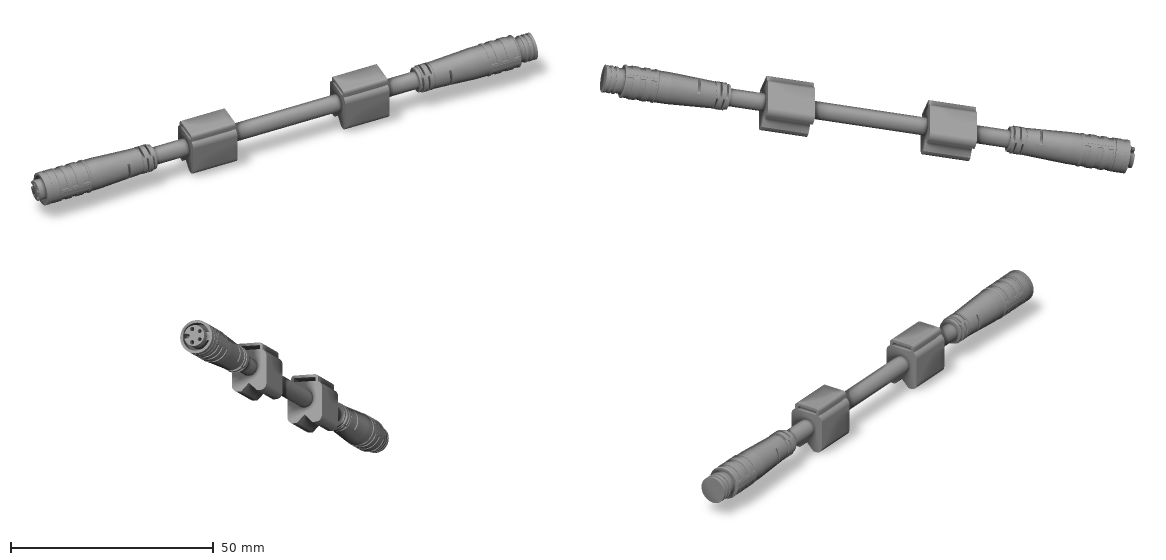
import cadquery as cq
import math

HALF_LENGTH = 67.4
PLUG = 1
SOCKET = -1

CABLE_DIAMETER = 4.5
CONNECTOR_LENGTH = 31.7

BODY_DIAMETER = 8.0
BODY_NECK_DIAMETER = 6.7
TAPER_START = 16.3
TAPER_END = 27.6
GRIP_SLOT_WIDTH = 0.7
GRIP_SLOT_FLAT = 2.7

RELIEF_DIAMETER = 6.9
RELIEF_NECK_DIAMETER = 6.5
RELIEF_NECK_LENGTH = 0.4
RELIEF_TIP_DIAMETER = 6.3
RELIEF_TIP_LENGTH = 0.8
RELIEF_SLOT_LENGTH = 0.5
RELIEF_SLOT_WIDTH = 4.6
RELIEF_SLOT_FLOOR = CABLE_DIAMETER / 2
RELIEF_SLOTS_TOP = (28.2, 29.9)
RELIEF_SLOTS_SIDE = (29.0, 30.6)

SLEEVE_DIAMETER = 8.4
SLEEVE_CHAMFER = 0.1
WINDOW_LENGTH = 1.5
WINDOW_EDGE = 1.28
RIB_WIDTH = 1.3

NOSE_DIAMETER = 6.3
NOSE_RING_DIAMETER = 6.9
NOSE_RINGS = ((0, 0.7), (1.2, 1.9), (2.5, 3.1))

PLUG_SLEEVE_START = 4.7
PLUG_SLEEVE_END = 13.2
PLUG_WINDOWS = (5.1, 8.4, 11.2)
PLUG_GRIP_SLOT = 23.2

SOCKET_SLEEVE_START = 5.1
SOCKET_SLEEVE_END = 13.7
SOCKET_WINDOWS = (5.7, 8.4, 11.6)
SOCKET_GRIP_SLOT = 23.7

NUT_START = 1.5
NUT_END = 5.0
NUT_BORE_DIAMETER = 7.0
NUT_BORE_DEPTH = 4.0
NUT_GROOVE = (2.5, 3.2)
NUT_GROOVE_DIAMETER = 8.2
CORE_DIAMETER = 5.3
KEYWAY_WIDTH = 1.2
KEYWAY_FLOOR = 2.0
KEYWAY_DEPTH = 2.7
KEY_WIDTH = 2.0
KEY_START = 1.9
PIN_CIRCLE_DIAMETER = 3.5
PIN_COUNT = 5
SMALL_PIN_DIAMETER = 1.0
LARGE_PIN_DIAMETER = 1.1
PIN_DEPTH = 2.7

CLIP_LENGTH = 12.0
CLIP_CENTRE = 20.6
CLIP_WIDTH = 9.0
CLIP_HEIGHT = 12.0
CLIP_BODY_TOP = 4.3
CLIP_ROUND = 1.6
CLIP_V_DEPTH = 2.0
BRIDGE_WIDTH = 7.0
BRIDGE_THICKNESS = 0.7
BRIDGE_ROUND = 0.8


def turned(end, start, stop, diameter, stop_diameter=None):
    """Cylinder, or cone if a second diameter is given, between two depths of one connector."""
    if stop_diameter is None:
        stop_diameter = diameter
    near = end * (HALF_LENGTH - start)
    far = end * (HALF_LENGTH - stop)
    outline = [(0, near), (diameter / 2, near), (stop_diameter / 2, far), (0, far)]
    return cq.Workplane("XY").polyline(outline).close().revolve(360, (0, 0, 0), (0, 1, 0))


def block(end, start, stop, x_range, z_range):
    """Box between two depths of one connector."""
    size_x = x_range[1] - x_range[0]
    size_z = z_range[1] - z_range[0]
    centre = (sum(x_range) / 2, end * (HALF_LENGTH - (start + stop) / 2), sum(z_range) / 2)
    return cq.Workplane("XY").box(size_x, stop - start, size_z).translate(centre)


def opposite_blocks(end, start, stop, inner, width):
    """Boxes above and below the axis, starting at the given distance from it."""
    across = (-width / 2, width / 2)
    upper = block(end, start, stop, across, (inner, SLEEVE_DIAMETER))
    return upper.union(block(end, start, stop, across, (-SLEEVE_DIAMETER, -inner)))


def quarter_turn(shape):
    """Move features from the top and bottom to the sides."""
    return shape.rotate((0, 0, 0), (0, 1, 0), 90)


def ring_groove(end, start, stop, floor_diameter):
    return turned(end, start, stop, 2 * SLEEVE_DIAMETER).cut(turned(end, start, stop, floor_diameter))


def relief_slots(end, start):
    stop = start + RELIEF_SLOT_LENGTH
    return opposite_blocks(end, start, stop, RELIEF_SLOT_FLOOR, RELIEF_SLOT_WIDTH)


def body(end, start, grip_slot):
    """Grip body, its two side slots and the strain relief."""
    relief_tip = CONNECTOR_LENGTH - RELIEF_TIP_LENGTH
    shape = turned(end, start, TAPER_START, BODY_DIAMETER)
    shape = shape.union(turned(end, TAPER_START, TAPER_END, BODY_DIAMETER, BODY_NECK_DIAMETER))
    shape = shape.union(turned(end, TAPER_END, relief_tip, RELIEF_DIAMETER))
    shape = shape.union(turned(end, relief_tip, CONNECTOR_LENGTH, RELIEF_TIP_DIAMETER))
    neck_end = TAPER_END + RELIEF_NECK_LENGTH
    shape = shape.cut(ring_groove(end, TAPER_END, neck_end, RELIEF_NECK_DIAMETER))
    slot_end = grip_slot + GRIP_SLOT_WIDTH
    shape = shape.cut(
        quarter_turn(opposite_blocks(end, grip_slot, slot_end, GRIP_SLOT_FLAT, SLEEVE_DIAMETER))
    )
    for slot_start in RELIEF_SLOTS_TOP:
        shape = shape.cut(relief_slots(end, slot_start))
    for slot_start in RELIEF_SLOTS_SIDE:
        shape = shape.cut(quarter_turn(relief_slots(end, slot_start)))
    return shape


def sleeve(end, start, stop, windows):
    """Sleeve with windows at top and bottom and a flat-faced rib along each side."""
    shape = turned(end, start, stop, SLEEVE_DIAMETER).faces("<Y or >Y").chamfer(SLEEVE_CHAMFER)
    for window in windows:
        window_end = window + WINDOW_LENGTH
        recess = opposite_blocks(end, window, window_end, WINDOW_EDGE, 2 * SLEEVE_DIAMETER)
        shape = shape.cut(recess.intersect(ring_groove(end, window, window_end, BODY_DIAMETER)))
    radius = SLEEVE_DIAMETER / 2
    across = (-RIB_WIDTH / 2, RIB_WIDTH / 2)
    rib = block(end, windows[0], windows[-1] + WINDOW_LENGTH, (-radius, radius), across)
    return shape.union(rib)


def plug():
    shape = turned(PLUG, 0, PLUG_SLEEVE_START, NOSE_DIAMETER)
    for start, stop in NOSE_RINGS:
        shape = shape.union(turned(PLUG, start, stop, NOSE_RING_DIAMETER))
    shape = shape.union(sleeve(PLUG, PLUG_SLEEVE_START, PLUG_SLEEVE_END, PLUG_WINDOWS))
    return shape.union(body(PLUG, PLUG_SLEEVE_END, PLUG_GRIP_SLOT))


def socket_core():
    """Core with a keyway on the -X side, a key on the +X side and a ring of pin holes."""
    radius = CORE_DIAMETER / 2
    core = turned(SOCKET, 0, NUT_END, CORE_DIAMETER)
    half_key = KEY_WIDTH / 2
    core = core.union(
        block(SOCKET, KEY_START, NUT_END, (0, NUT_BORE_DIAMETER / 2), (-half_key, half_key))
    )
    half_keyway = KEYWAY_WIDTH / 2
    core = core.cut(
        block(SOCKET, 0, KEYWAY_DEPTH, (-2 * radius, -KEYWAY_FLOOR), (-half_keyway, half_keyway))
    )
    for index in range(PIN_COUNT):
        angle = math.pi + index * 2 * math.pi / PIN_COUNT
        x = PIN_CIRCLE_DIAMETER / 2 * math.cos(angle)
        z = PIN_CIRCLE_DIAMETER / 2 * math.sin(angle)
        diameter = SMALL_PIN_DIAMETER if x > 0 else LARGE_PIN_DIAMETER
        core = core.cut(turned(SOCKET, 0, PIN_DEPTH, diameter).translate((x, 0, z)))
    return core


def socket():
    shape = turned(SOCKET, NUT_START, NUT_END, SLEEVE_DIAMETER)
    shape = shape.cut(ring_groove(SOCKET, *NUT_GROOVE, NUT_GROOVE_DIAMETER))
    shape = shape.cut(turned(SOCKET, NUT_START, NUT_BORE_DEPTH, NUT_BORE_DIAMETER))
    shape = shape.union(socket_core())
    shape = shape.union(sleeve(SOCKET, SOCKET_SLEEVE_START, SOCKET_SLEEVE_END, SOCKET_WINDOWS))
    return shape.union(body(SOCKET, NUT_END, SOCKET_GRIP_SLOT))


def clip(centre):
    """Rounded block around the cable with a V notch below and a bridge over a flat gap on top."""
    bottom = -CLIP_HEIGHT / 2
    top = CLIP_HEIGHT / 2
    height = CLIP_BODY_TOP - bottom
    shape = cq.Workplane("XY").box(CLIP_WIDTH, CLIP_LENGTH, height)
    shape = shape.edges("|Y").fillet(CLIP_ROUND).translate((0, 0, bottom + height / 2))

    bridge = cq.Workplane("XY").box(BRIDGE_WIDTH, CLIP_LENGTH, top)
    bridge = bridge.edges("|Y and >Z").fillet(BRIDGE_ROUND).translate((0, 0, top / 2))
    gap_height = top - BRIDGE_THICKNESS - CLIP_BODY_TOP
    gap = cq.Workplane("XY").box(BRIDGE_WIDTH - 2 * BRIDGE_THICKNESS, CLIP_LENGTH, gap_height)
    shape = shape.union(bridge).cut(gap.translate((0, 0, CLIP_BODY_TOP + gap_height / 2)))

    notch = [(-CLIP_V_DEPTH, bottom), (0, bottom + CLIP_V_DEPTH), (CLIP_V_DEPTH, bottom)]
    cutter = cq.Workplane("XZ").polyline(notch).close().extrude(CLIP_LENGTH / 2, both=True)
    return shape.cut(cutter).translate((0, centre, 0))


cable_half = HALF_LENGTH - TAPER_END
cable = cq.Workplane("XZ").circle(CABLE_DIAMETER / 2).extrude(cable_half, both=True)

result = cable.union(plug()).union(socket())
for clip_side in (PLUG, SOCKET):
    result = result.union(clip(clip_side * CLIP_CENTRE))